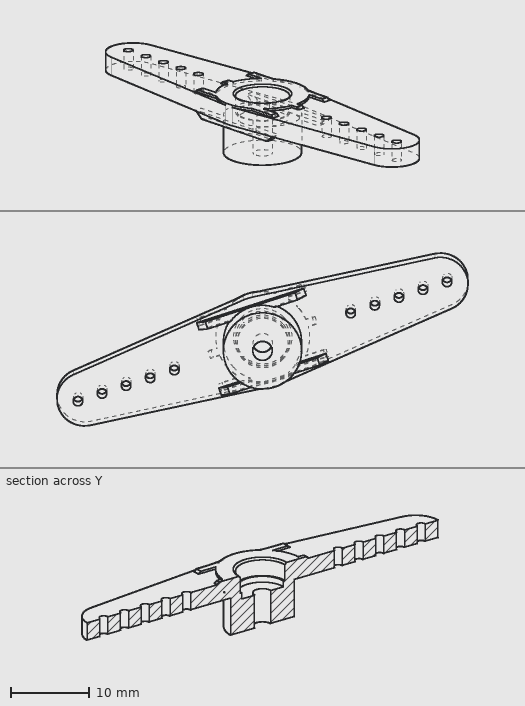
import cadquery as cq
import math

arm_length = 55.0
hub_diameter = 12.0
total_height = 8.0

end_radius = 3.5
plate_thickness = 2.5
hub_radius = hub_diameter / 2
end_center_x = arm_length / 2 - end_radius

raised_height = 0.3
boss_diameter = 10.0
boss_height = total_height - raised_height - plate_thickness
plate_top = plate_thickness
top_z = plate_top + raised_height

rib_width = 1.0
rib_base_length = 14.4
rib_slope_top = 0.4
rib_slope_bottom = 1.15
lower_rib_height = 1.0
rib_offset = (boss_diameter - rib_width) / 2

bore_diameter = 6.95
bore_depth = 2.5
bore_chamfer = 0.3
lower_bore_diameter = 6.5
lower_bore_depth = 3.3
screw_hole_diameter = 2.5

linkage_hole_diameter = 1.2
linkage_hole_count = 5
linkage_hole_pitch = 3.25
first_linkage_x = 11.9


def arm_plate():
    """Plate outlined by the hub circle and both end circles with their common tangents."""
    tilt = math.asin((hub_radius - end_radius) / end_center_x)
    normal_x = math.sin(tilt)
    normal_y = math.cos(tilt)
    hub_x = hub_radius * normal_x
    hub_y = hub_radius * normal_y
    end_x = end_center_x + end_radius * normal_x
    end_y = end_radius * normal_y
    return (
        cq.Workplane("XY")
        .moveTo(-hub_x, hub_y)
        .threePointArc((0, hub_radius), (hub_x, hub_y))
        .lineTo(end_x, end_y)
        .threePointArc((arm_length / 2, 0), (end_x, -end_y))
        .lineTo(hub_x, -hub_y)
        .threePointArc((0, -hub_radius), (-hub_x, -hub_y))
        .lineTo(-end_x, -end_y)
        .threePointArc((-arm_length / 2, 0), (-end_x, end_y))
        .close()
        .extrude(plate_thickness)
    )


def cylinder(diameter, bottom, top):
    """Cylinder on the Z axis between two heights."""
    return cq.Workplane("XY").workplane(offset=bottom).circle(diameter / 2).extrude(top - bottom)


def rib(y_center, base_z, tip_z, slope_run):
    """Bar along X, trapezoidal in side profile, growing from base_z to tip_z."""
    base_x = rib_base_length / 2
    tip_x = base_x - slope_run
    profile = [(-base_x, base_z), (base_x, base_z), (tip_x, tip_z), (-tip_x, tip_z)]
    return (
        cq.Workplane("XZ", origin=(0, y_center, 0))
        .polyline(profile)
        .close()
        .extrude(rib_width / 2, both=True)
    )


def hub_bore():
    """Chamfered, stepped bore that ends in a floor pierced by the screw hole."""
    mouth_radius = bore_diameter / 2 + bore_chamfer
    mouth = (
        cq.Workplane("XY")
        .workplane(offset=top_z)
        .circle(mouth_radius)
        .workplane(offset=-bore_chamfer)
        .circle(bore_diameter / 2)
        .loft()
    )
    bore = cylinder(bore_diameter, top_z - bore_depth, top_z)
    lower_bore = cylinder(lower_bore_diameter, top_z - lower_bore_depth, top_z)
    screw_hole = cylinder(screw_hole_diameter, -boss_height, top_z)
    return bore.union(mouth).union(lower_bore).union(screw_hole)


def linkage_holes():
    """Evenly spaced through holes on the centre line of both arms."""
    distances = [first_linkage_x + i * linkage_hole_pitch for i in range(linkage_hole_count)]
    points = [(side * x, 0) for side in (-1, 1) for x in distances]
    return (
        cq.Workplane("XY")
        .pushPoints(points)
        .circle(linkage_hole_diameter / 2)
        .extrude(plate_thickness)
    )


def raised_layer():
    """Low disc around the bore with a side rib on each edge and a middle rib."""
    layer = cylinder(hub_diameter, plate_top, top_z)
    for y_center in (-rib_offset, 0, rib_offset):
        layer = layer.union(rib(y_center, plate_top, top_z, rib_slope_top))
    return layer


def boss():
    """Round boss under the plate with a side rib flush with each of its sides."""
    base = cylinder(boss_diameter, -boss_height, 0)
    for y_center in (-rib_offset, rib_offset):
        base = base.union(rib(y_center, 0, -lower_rib_height, rib_slope_bottom))
    return base


hub = cylinder(hub_diameter, 0, top_z)
body = arm_plate().union(boss()).union(hub).union(raised_layer())
result = body.cut(hub_bore()).cut(linkage_holes())